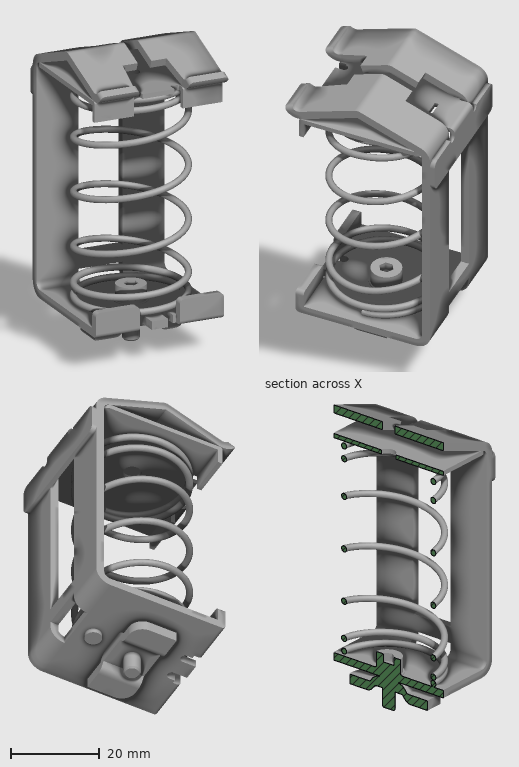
import math

import cadquery as cq


SHEET = 2.0
WIDTH = 32.0
WALL_X = -18.0
BEND_IN = 1.6
BEND_OUT = BEND_IN + SHEET
BEND_X = WALL_X + BEND_OUT
WALL_TOP = 54.97
ROOF_ANGLE = math.radians(20)
RIDGE_Z = WALL_TOP + BEND_OUT / math.cos(ROOF_ANGLE) - BEND_X * math.tan(ROOF_ANGLE)
RIDGE_RADIUS = 2.0
LIP_START = 14.25
LIP_ANGLE = math.radians(67)
LIP_CORNER = 1.0

SLOT_HALF = 5.5
WINDOW_BOTTOM = 8.97
FOOT_SLOT_TOP = 4.93
RIDGE_SLOT_HALF = 1.7
RIDGE_SLOT_END = 7.2
MOUTH_HALF = 6.2
CUT_MARGIN = 5.0

BASE_END = 15.3
TAB_HEIGHT = 6.1
TAB_INNER = 5.0
TAB_CORNER = 1.0
FOLD_RADIUS = 1.0
BASE_TONGUE_HALF = 2.05
BASE_RELIEF_RADIUS = 1.05
BASE_RELIEF_X = 11.9

LATCH_SHEET = 1.15
LATCH_TOP = 56.7
LATCH_BOTTOM = LATCH_TOP - LATCH_SHEET
LATCH_END = 14.5
LATCH_START = -15.85
LATCH_CORNER = 1.4
LATCH_BACK = WALL_X - LATCH_SHEET
NECK_HALF = 5.03
NECK_BEND = 1.2
BACK_BOTTOM = 47.0
BACK_TOP = 54.9
BACK_CORNER = 1.5
BACK_RELIEF_RADIUS = 1.05
FLAP_BOTTOM = 51.7
FLAP_INNER = 6.1
LATCH_TONGUE_HALF = 4.0
LATCH_RELIEF_RADIUS = 0.85
LATCH_RELIEF_X = 12.6
LATCH_RELIEF_Y = 4.8
FLAP_FOLD = 0.6
LATCH_SLOT_X = -11.7
LATCH_SLOT_LENGTH = 1.0
LATCH_SLOT_WIDTH = 3.6
ACCESS_RADIUS = 2.1

COIL_RADIUS = 13.0
WIRE_RADIUS = 0.8
COIL_MID = 28.8
OPEN_TURNS = 1.5
END_TURNS = 2.0
OPEN_PITCH = 13.1
END_PITCH = 6.35
POINTS_PER_TURN = 12

SCREW_RADIUS = 2.0
SCREW_TIP = -7.45
SCREW_CHAMFER = 0.4
HEAD_RADIUS = 3.6
HEAD_TOP = 5.95
WASHER_RADIUS = 4.0
WASHER_THICKNESS = 0.2
SOCKET_FLATS = 3.0
SOCKET_DEPTH = 2.0
NUT_HALF_X = 5.2
NUT_HALF_Y = 11.4
NUT_CORNER = 3.5
NUT_CROWN_TOP = 3.9
NUT_CROWN_UNDER = 3.9
NUT_KNEE = 5.45
NUT_CROWN_THICKNESS = 2.7
NUT_CROWN_ROUND = 3.0
NUT_KNEE_ROUND = 2.0
NUT_WING_TOP = -2.0
NUT_BOTTOM = -4.5
PIN_X = -10.0
PIN_RADIUS = 2.0
PIN_LENGTH = 1.15


def box(x_range, y_range, z_range):
    """Axis-aligned block between the given limits."""
    (x0, x1), (y0, y1), (z0, z1) = x_range, y_range, z_range
    return cq.Workplane("XY").box(x1 - x0, y1 - y0, z1 - z0, centered=False).translate((x0, y0, z0))


def cylinder(radius, x, y, z0, z1):
    """Upright cylinder between two heights."""
    return cq.Workplane("XY").workplane(offset=z0).center(x, y).circle(radius).extrude(z1 - z0)


def polar(center, radius, angle):
    """Point at an angle on a circle."""
    return (center[0] + radius * math.cos(angle), center[1] + radius * math.sin(angle))


def bracket_strip():
    """Base, wall, pitched roof and curled lip as one bent strip."""
    half = WIDTH / 2
    foot = (BEND_X, BEND_OUT)
    foot_middle = math.radians(225)
    shoulder = (BEND_X, WALL_TOP)
    roof_normal = math.pi / 2 + ROOF_ANGLE
    shoulder_middle = (math.pi + roof_normal) / 2
    roof_start = polar(shoulder, BEND_OUT, roof_normal)
    ridge_half = RIDGE_RADIUS * math.sin(ROOF_ANGLE)
    ridge_edge_z = RIDGE_Z - ridge_half * math.tan(ROOF_ANGLE)
    ridge_top_z = RIDGE_Z - RIDGE_RADIUS * (1 / math.cos(ROOF_ANGLE) - 1)

    lip_z = RIDGE_Z - LIP_START * math.tan(ROOF_ANGLE)
    lip_first = -math.pi / 2 - ROOF_ANGLE
    lip_last = LIP_ANGLE - math.pi / 2
    lip_middle = (lip_first + lip_last) / 2
    lip_center = polar((LIP_START, lip_z), BEND_IN, lip_first + math.pi)

    profile = (
        cq.Workplane("XZ")
        .moveTo(BASE_END, 0)
        .lineTo(BEND_X, 0)
        .threePointArc(polar(foot, BEND_OUT, foot_middle), (WALL_X, BEND_OUT))
        .lineTo(WALL_X, WALL_TOP)
        .threePointArc(polar(shoulder, BEND_OUT, shoulder_middle), roof_start)
        .lineTo(-ridge_half, ridge_edge_z)
        .threePointArc((0, ridge_top_z), (ridge_half, ridge_edge_z))
        .lineTo(LIP_START, lip_z)
        .threePointArc(polar(lip_center, BEND_IN, lip_middle), polar(lip_center, BEND_IN, lip_last))
        .lineTo(*polar(lip_center, BEND_OUT, lip_last))
        .threePointArc(polar(lip_center, BEND_OUT, lip_middle), polar(lip_center, BEND_OUT, lip_first))
        .lineTo(0, RIDGE_Z - SHEET / math.cos(ROOF_ANGLE))
        .lineTo(*polar(shoulder, BEND_IN, roof_normal))
        .threePointArc(polar(shoulder, BEND_IN, shoulder_middle), (WALL_X + SHEET, WALL_TOP))
        .lineTo(WALL_X + SHEET, BEND_OUT)
        .threePointArc(polar(foot, BEND_IN, foot_middle), (BEND_X, SHEET))
        .lineTo(BASE_END, SHEET)
        .close()
    )
    return profile.extrude(half, both=True)


def wall_openings():
    """Tall window running up into the roof, and the slot through the lower bend."""
    sides = (-SLOT_HALF, SLOT_HALF)
    left = WALL_X - CUT_MARGIN
    window = box((left, BEND_X), sides, (WINDOW_BOTTOM, WALL_TOP + BEND_OUT + CUT_MARGIN))
    foot_slot = box((left, BEND_X), sides, (-CUT_MARGIN, FOOT_SLOT_TOP))
    return window.union(foot_slot)


def roof_slot():
    """Slot along the roof: narrow across the ridge, wide at the wall, flared at the lip."""
    narrow = box(
        (-RIDGE_SLOT_END - SHEET, RIDGE_SLOT_END + SHEET),
        (-RIDGE_SLOT_HALF, RIDGE_SLOT_HALF),
        (WALL_TOP, RIDGE_Z + CUT_MARGIN),
    )
    wide_start = RIDGE_SLOT_END / math.cos(ROOF_ANGLE)
    lip_start = LIP_START / math.cos(ROOF_ANGLE)
    wall_end = -WALL_X / math.cos(ROOF_ANGLE)
    wall_side = roof_cut(-1, [(wide_start, SLOT_HALF), (wall_end, SLOT_HALF)])
    lip_side = roof_cut(
        1, [(wide_start, SLOT_HALF), (lip_start, MOUTH_HALF), (lip_start + CUT_MARGIN, MOUTH_HALF)]
    )
    return narrow.union(wall_side).union(lip_side)


def roof_cut(side, half_outline):
    """Symmetric cutter square to the roof half on the given side of the ridge."""
    slope = (side * math.cos(ROOF_ANGLE), 0, -math.sin(ROOF_ANGLE))
    normal = (side * math.sin(ROOF_ANGLE), 0, math.cos(ROOF_ANGLE))
    mirrored = [(distance, -y) for distance, y in reversed(half_outline)]
    roof_plane = cq.Workplane(cq.Plane(origin=(0, 0, RIDGE_Z), xDir=slope, normal=normal))
    return roof_plane.polyline(half_outline + mirrored).close().extrude(CUT_MARGIN, both=True)


def bracket():
    """Bent strip with its openings, lip corners, end tabs and base tongue."""
    body = bracket_strip().cut(wall_openings()).cut(roof_slot())
    lip_edges = cq.selectors.BoxSelector(
        (LIP_START + SHEET, -WIDTH, WALL_TOP + SHEET),
        (LIP_START + BEND_OUT + SHEET, WIDTH, LATCH_TOP + BEND_OUT),
    )
    tip_direction = cq.Vector(math.sin(LIP_ANGLE), 0, -math.cos(LIP_ANGLE))
    tip_edges = cq.selectors.ParallelDirSelector(tip_direction)
    body = body.edges(lip_edges).edges(tip_edges).fillet(LIP_CORNER)

    tab_x = BASE_END - SHEET
    for side in (-1, 1):
        tab_sides = sorted((side * TAB_INNER, side * WIDTH / 2))
        tab = box((tab_x, BASE_END), tab_sides, (0, TAB_HEIGHT))
        tab = tab.edges("|X and >Z").fillet(TAB_CORNER)
        tab = tab.edges("|Y and >X and <Z").fillet(FOLD_RADIUS)
        body = body.cut(box((tab_x, BASE_END), tab_sides, (0, SHEET))).union(tab)

    relief_y = BASE_TONGUE_HALF + BASE_RELIEF_RADIUS
    for side in (-1, 1):
        gap = sorted((side * BASE_TONGUE_HALF, side * TAB_INNER))
        notch = sorted((side * BASE_TONGUE_HALF, side * (relief_y + BASE_RELIEF_RADIUS)))
        body = body.cut(box((tab_x, BASE_END), gap, (0, SHEET)))
        body = body.cut(box((BASE_RELIEF_X, tab_x), notch, (0, SHEET)))
        body = body.cut(cylinder(BASE_RELIEF_RADIUS, BASE_RELIEF_X, side * relief_y, 0, SHEET))
    return body


def latch():
    """Plate under the roof, hooked through the wall, with a back flap and two front flaps."""
    half = WIDTH / 2
    plate = box((LATCH_START, LATCH_END), (-half, half), (LATCH_BOTTOM, LATCH_TOP))
    plate = plate.edges("|Z and <X").fillet(LATCH_CORNER)

    neck = box((LATCH_BACK, 0), (-NECK_HALF, NECK_HALF), (BACK_TOP, LATCH_TOP))
    neck = neck.cut(box((WALL_X, 0), (-NECK_HALF, NECK_HALF), (BACK_TOP, LATCH_BOTTOM)))
    neck = neck.edges("|Y and >Z and <X").fillet(NECK_BEND)

    back = box((LATCH_BACK, WALL_X), (-half, half), (BACK_BOTTOM, BACK_TOP))
    back = back.edges("|X").fillet(BACK_CORNER)
    for side in (-1, 1):
        relief = cq.Workplane("YZ").center(side * (NECK_HALF + BACK_RELIEF_RADIUS), BACK_TOP)
        back = back.cut(relief.circle(BACK_RELIEF_RADIUS).extrude(2 * WALL_X))

    body = plate.union(neck).union(back)
    flap_x = LATCH_END - LATCH_SHEET
    for side in (-1, 1):
        flap_sides = sorted((side * FLAP_INNER, side * half))
        flap = box((flap_x, LATCH_END), flap_sides, (FLAP_BOTTOM, LATCH_TOP))
        body = body.cut(box((flap_x, LATCH_END), flap_sides, (LATCH_BOTTOM, LATCH_TOP)))
        body = body.union(flap.edges("|Y and >X and >Z").fillet(FLAP_FOLD))
        notch = sorted((side * LATCH_TONGUE_HALF, side * FLAP_INNER))
        body = body.cut(box((LATCH_RELIEF_X, LATCH_END), notch, (LATCH_BOTTOM, LATCH_TOP)))
        relief_y = side * LATCH_RELIEF_Y
        body = body.cut(cylinder(LATCH_RELIEF_RADIUS, LATCH_RELIEF_X, relief_y, LATCH_BOTTOM, LATCH_TOP))

    slot_x = (LATCH_SLOT_X - LATCH_SLOT_LENGTH / 2, LATCH_SLOT_X + LATCH_SLOT_LENGTH / 2)
    slot_y = (-LATCH_SLOT_WIDTH / 2, LATCH_SLOT_WIDTH / 2)
    body = body.cut(box(slot_x, slot_y, (LATCH_BOTTOM, LATCH_TOP)))
    return body.cut(cylinder(ACCESS_RADIUS, 0, 0, LATCH_BOTTOM, LATCH_TOP))


def coil_height(turn):
    """Height of the wire centre; turn counts from the middle of the spring."""
    open_part = min(abs(turn), OPEN_TURNS)
    end_part = abs(turn) - open_part
    rise = OPEN_PITCH * open_part + END_PITCH * (end_part - end_part**2 / (2 * END_TURNS))
    return COIL_MID + math.copysign(rise, turn)


def spring():
    """Right-handed round wire spring whose pitch closes towards both ends."""
    turns = OPEN_TURNS + END_TURNS
    steps = round(2 * turns * POINTS_PER_TURN)
    points = []
    for step in range(steps + 1):
        turn = step / POINTS_PER_TURN - turns
        angle = 2 * math.pi * turn - math.pi / 2
        points.append((*polar((0, 0), COIL_RADIUS, angle), coil_height(turn)))
    path = cq.Workplane("XY").spline(points)
    start = cq.Plane(origin=points[0], normal=path.val().tangentAt(0))
    return cq.Workplane(start).circle(WIRE_RADIUS).sweep(path, isFrenet=True)


def screw():
    """Socket head screw standing on the base and passing through the nut."""
    shank = cylinder(SCREW_RADIUS, 0, 0, SCREW_TIP, SHEET).faces("<Z").chamfer(SCREW_CHAMFER)
    head = cylinder(HEAD_RADIUS, 0, 0, SHEET, HEAD_TOP)
    socket_corners = SOCKET_FLATS / math.cos(math.pi / 6)
    socket_floor = cq.Workplane("XY").workplane(offset=HEAD_TOP - SOCKET_DEPTH)
    socket = socket_floor.polygon(6, socket_corners).extrude(SOCKET_DEPTH)
    washer = cylinder(WASHER_RADIUS, 0, 0, SHEET, SHEET + WASHER_THICKNESS)
    return shank.union(washer).union(head).cut(socket)


def nut():
    """Hat-shaped clamping nut; two opposite wing corners are rounded so it can turn."""
    right = [
        (NUT_CROWN_TOP, 0),
        (NUT_KNEE, NUT_WING_TOP),
        (NUT_HALF_Y, NUT_WING_TOP),
        (NUT_HALF_Y, NUT_BOTTOM),
        (NUT_KNEE, NUT_BOTTOM),
        (NUT_CROWN_UNDER, -NUT_CROWN_THICKNESS),
    ]
    left = [(-y, z) for y, z in reversed(right)]
    body = cq.Workplane("YZ").polyline(right + left).close().extrude(NUT_HALF_X, both=True)
    for side in (-1, 1):
        crown_edge = cq.selectors.NearestToPointSelector((0, side * NUT_CROWN_TOP, 0))
        knee_edge = cq.selectors.NearestToPointSelector((0, side * NUT_KNEE, NUT_BOTTOM))
        body = body.edges("|X").edges(crown_edge).fillet(NUT_CROWN_ROUND)
        body = body.edges("|X").edges(knee_edge).fillet(NUT_KNEE_ROUND)
    for side in (-1, 1):
        corner = cq.selectors.NearestToPointSelector(
            (side * NUT_HALF_X, side * NUT_HALF_Y, (NUT_WING_TOP + NUT_BOTTOM) / 2)
        )
        body = body.edges("|Z").edges(corner).fillet(NUT_CORNER)
    return body


def pin():
    """Locating pin under the base."""
    return cylinder(PIN_RADIUS, PIN_X, 0, -PIN_LENGTH, SHEET)


result = bracket()
for component in (latch(), screw(), nut(), pin(), spring()):
    result = result.union(component)